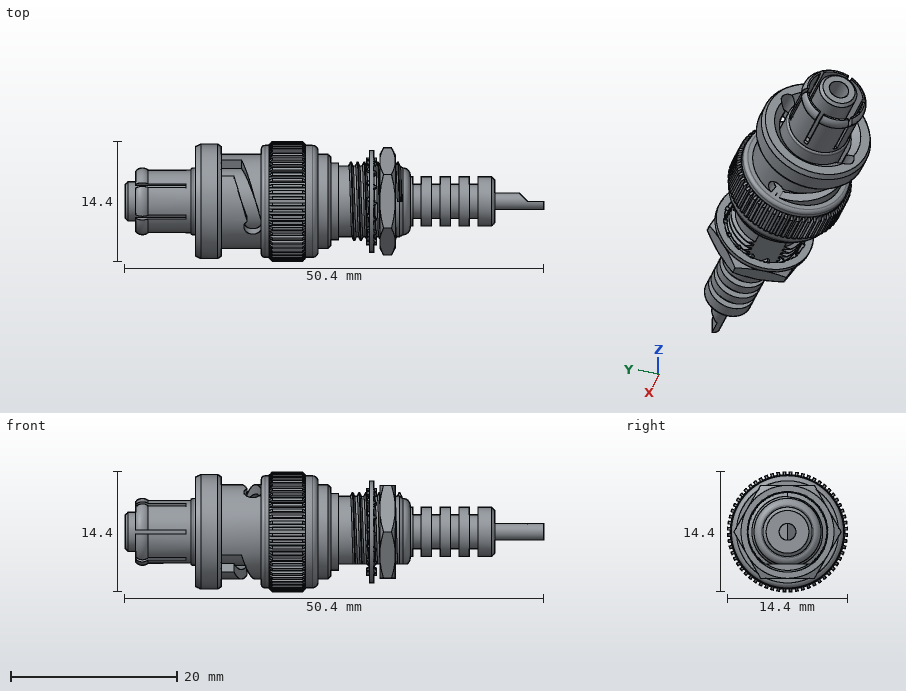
import cadquery as cq
import math


INSULATOR_RADIUS = 2.35
INSULATOR_CHAMFER = 0.35
CONTACT_HOLE_RADIUS = 1.2
CONTACT_HOLE_DEPTH = 4.05

COLLET_START = 1.25
COLLET_RADIUS = 3.8
COLLET_INNER_RADIUS = 3.45
BEAD_LENGTH = 1.5
BEAD_RADIUS = 4.05
BEAD_LIP_DROP = 0.15
COLLET_SLOT_COUNT = 6
FIRST_COLLET_SLOT_ANGLE = 90.0
COLLET_SLOT_WIDTH = 0.5
COLLET_SLOT_END = 7.35

COLLAR_START = 7.9
COLLAR_RADIUS = 4.05
COLLAR_FILLET = 0.25

FLANGE_START = 8.45
FLANGE_END = 11.6
FLANGE_RADIUS = 6.9
FLANGE_FRONT_CHAMFER_LENGTH = 0.65
FLANGE_BACK_CHAMFER_LENGTH = 0.45
FLANGE_CHAMFER_DROP = 0.3

SHELL_RADIUS = 5.7
SHELL_BORE_RADIUS = 4.55
MOUTH_RADIUS = 5.45

BAYONET_ANGLES = (0, 180)
SLOT_ENTRY_ANGLE = 46.5
SLOT_ENTRY_HALF_ANGLE = 14.0
SLOT_ENTRY_END = 13.1
NOTCH_CENTRE_RADIUS = 4.95
NOTCH_RADIUS = 1.0
SLOT_RAMP_START = 13.15
SLOT_RAMP_TURN = 90.0
SLOT_RAMP_PITCH = 10.1
SLOT_RAMP_LENGTH = 1.7
DETENT_X = 15.35
DETENT_ANGLE = -33.0
DETENT_RADIUS = 1.05

GRIP_START = 16.4
GRIP_END = 23.25
GRIP_RADIUS = 6.75
GRIP_FRONT_FILLET = 0.45
GRIP_BACK_FILLET = 0.7
KNURL_START = 17.35
KNURL_END = 21.7
KNURL_DIAMETER = 14.45
KNURL_RADIUS = KNURL_DIAMETER / 2
KNURL_CHAMFER = 0.4
KNURL_COUNT = 60
KNURL_GROOVE_WIDTH = 0.4

SHOULDER_END = 24.75
SHOULDER_CHAMFER = 0.35
STEP_END = 25.7
STEP_RADIUS = 4.65
BARREL_END = 34.3
BARREL_RADIUS = 4.3
BARREL_TAPER_START = 33.0
BARREL_TAPER_END = 33.4
BARREL_TAPER_RADIUS = 4.05
BARREL_FLAT_DEPTH = 3.9

THREAD_START = 27.15
THREAD_START_ANGLE = 90.0
THREAD_PITCH = 0.8
THREAD_TURNS = 7.25
THREAD_CREST_RADIUS = 4.75
THREAD_BASE_WIDTH = 0.6
THREAD_CREST_WIDTH = 0.1
THREAD_EMBED = 0.1

RELIEF_END = 44.5
RELIEF_RADIUS = 2.95
RELIEF_CHAMFER = 0.4
RELIEF_GROOVE_RADIUS = 2.05
RELIEF_GROOVE_START = 34.6
RELIEF_GROOVE_WIDTH = 1.0
RELIEF_GROOVE_PITCH = 2.25
RELIEF_GROOVE_COUNT = 4
CABLE_RADIUS = 1.0
CABLE_END = 50.4
CABLE_CUT_X = 48.45

FASTENER_BORE_RADIUS = 4.85

WASHER_START = 29.4
WASHER_THICKNESS = 0.55
WASHER_RADIUS = 6.15
WASHER_RING_INNER_RADIUS = 5.15
TOOTH_COUNT = 16
TOOTH_WIDTH = 1.2
TOOTH_THICKNESS = 0.4
TOOTH_TWIST = 50.0
TOOTH_EMBED = 0.1

NUT_START = 30.65
NUT_END = 32.5
NUT_ACROSS_FLATS = 11.2
NUT_CHAMFER_LENGTH = 0.45

OVERCUT = 0.5


def turned(points):
    """Solid of revolution about X from an outline of (x, radius) points."""
    return cq.Workplane("XZ").polyline(points).close().revolve(360, (0, 0, 0), (1, 0, 0))


def disc(start, end, radius):
    return turned([(start, 0), (start, radius), (end, radius), (end, 0)])


def tube(start, end, outer_radius, inner_radius):
    return turned([(start, inner_radius), (start, outer_radius), (end, outer_radius), (end, inner_radius)])


def box_along_x(start, end, width, low, high):
    """Box centred on Y, between two X and two Z positions."""
    box = cq.Workplane("XY").box(end - start, width, high - low, centered=(False, True, False))
    return box.translate((start, 0, low))


def turned_about_x(shape, angle):
    """Turns a shape from +Z towards +Y by an angle in degrees."""
    return shape.rotate((0, 0, 0), (1, 0, 0), -angle)


def helical_sweep(outline, start, radius, pitch, turn):
    """Sweeps an (axial, radius) outline along +X and round the axis, from +Z towards -Y."""
    path = cq.Workplane(cq.Wire.makeHelix(pitch, pitch * turn / 360, radius))
    points = [(outline_radius, axial) for axial, outline_radius in outline]
    coil = cq.Workplane("XZ").polyline(points).close().sweep(path, isFrenet=True)
    return coil.rotate((0, 0, 0), (0, 1, 0), 90).rotate((0, 0, 0), (1, 0, 0), 180).translate((start, 0, 0))


def make_insulator():
    insulator = disc(0, FLANGE_START, INSULATOR_RADIUS).edges("<X").chamfer(INSULATOR_CHAMFER)
    return insulator.cut(disc(-OVERCUT, CONTACT_HOLE_DEPTH, CONTACT_HOLE_RADIUS))


def make_collet():
    bead_end = COLLET_START + BEAD_LENGTH
    collet = (
        cq.Workplane("XZ")
        .moveTo(COLLET_START, COLLET_INNER_RADIUS)
        .lineTo(COLLET_START, COLLET_RADIUS - BEAD_LIP_DROP)
        .threePointArc((COLLET_START + BEAD_LENGTH / 2, BEAD_RADIUS), (bead_end, COLLET_RADIUS))
        .lineTo(COLLAR_START, COLLET_RADIUS)
        .lineTo(COLLAR_START, COLLET_INNER_RADIUS)
        .close()
        .revolve(360, (0, 0, 0), (1, 0, 0))
    )
    slot = box_along_x(
        COLLET_START - OVERCUT,
        COLLET_SLOT_END,
        COLLET_SLOT_WIDTH,
        INSULATOR_RADIUS,
        BEAD_RADIUS + OVERCUT,
    )
    for index in range(COLLET_SLOT_COUNT):
        collet = collet.cut(turned_about_x(slot, FIRST_COLLET_SLOT_ANGLE + index * 360 / COLLET_SLOT_COUNT))
    return collet


def make_collar():
    """Solid collar from the collet root to the back of the grip ring."""
    return disc(COLLAR_START, GRIP_END, COLLAR_RADIUS).edges("<X").fillet(COLLAR_FILLET)


def make_bayonet_cutter():
    """One bayonet slot, opening through the flange and the shell wall."""
    low = (SHELL_BORE_RADIUS + COLLAR_RADIUS) / 2
    high = SHELL_RADIUS + OVERCUT
    notch = disc(FLANGE_START - OVERCUT, FLANGE_END, NOTCH_RADIUS).translate((0, 0, NOTCH_CENTRE_RADIUS))
    spread = math.tan(math.radians(SLOT_ENTRY_HALF_ANGLE))
    entry = (
        cq.Workplane("YZ")
        .polyline([(-low * spread, low), (low * spread, low), (high * spread, high), (-high * spread, high)])
        .close()
        .extrude(SLOT_ENTRY_END - FLANGE_END)
        .translate((FLANGE_END, 0, 0))
    )
    half_length = SLOT_RAMP_LENGTH / 2
    ramp = helical_sweep(
        [(-half_length, low), (-half_length, high), (half_length, high), (half_length, low)],
        SLOT_RAMP_START,
        SHELL_RADIUS,
        SLOT_RAMP_PITCH,
        SLOT_RAMP_TURN,
    )
    detent = cq.Workplane("XY").circle(DETENT_RADIUS).extrude(high - low).translate((DETENT_X, 0, low))
    return (
        turned_about_x(notch.union(entry), SLOT_ENTRY_ANGLE)
        .union(turned_about_x(ramp, SLOT_ENTRY_ANGLE + SLOT_ENTRY_HALF_ANGLE))
        .union(turned_about_x(detent, DETENT_ANGLE))
    )


def make_bayonet_shell():
    chamfer_radius = FLANGE_RADIUS - FLANGE_CHAMFER_DROP
    mouth_length = MOUTH_RADIUS - SHELL_BORE_RADIUS
    shell = turned(
        [
            (FLANGE_START, MOUTH_RADIUS),
            (FLANGE_START, chamfer_radius),
            (FLANGE_START + FLANGE_FRONT_CHAMFER_LENGTH, FLANGE_RADIUS),
            (FLANGE_END - FLANGE_BACK_CHAMFER_LENGTH, FLANGE_RADIUS),
            (FLANGE_END, chamfer_radius),
            (FLANGE_END, SHELL_RADIUS),
            (GRIP_START, SHELL_RADIUS),
            (GRIP_START, SHELL_BORE_RADIUS),
            (FLANGE_START + mouth_length, SHELL_BORE_RADIUS),
        ]
    )
    cutter = make_bayonet_cutter()
    for angle in BAYONET_ANGLES:
        shell = shell.cut(turned_about_x(cutter, angle))
    return shell


def make_grip():
    grip = disc(GRIP_START, GRIP_END, GRIP_RADIUS)
    grip = grip.edges("<X").fillet(GRIP_FRONT_FILLET).edges(">X").fillet(GRIP_BACK_FILLET)
    knurl = disc(KNURL_START, KNURL_END, KNURL_RADIUS).edges("%CIRCLE").chamfer(KNURL_CHAMFER)
    groove = box_along_x(
        KNURL_START - OVERCUT,
        KNURL_END + OVERCUT,
        KNURL_GROOVE_WIDTH,
        GRIP_RADIUS,
        KNURL_RADIUS + OVERCUT,
    )
    grooves = [
        turned_about_x(groove, index * 360 / KNURL_COUNT).val()
        for index in range(KNURL_COUNT)
    ]
    knurl = knurl.cut(cq.Workplane(cq.Compound.makeCompound(grooves)))
    return grip.union(knurl)


def make_shoulders():
    shoulder = disc(GRIP_END, SHOULDER_END, SHELL_RADIUS).edges(">X").chamfer(SHOULDER_CHAMFER)
    return shoulder.union(disc(SHOULDER_END, STEP_END, STEP_RADIUS))


def make_barrel():
    """Threaded barrel with a rounded nose and one flat along its underside."""
    nose_radius = BARREL_END - BARREL_TAPER_END
    barrel = (
        cq.Workplane("XZ")
        .moveTo(STEP_END, 0)
        .lineTo(STEP_END, BARREL_RADIUS)
        .lineTo(BARREL_TAPER_START, BARREL_RADIUS)
        .lineTo(BARREL_TAPER_END, BARREL_TAPER_RADIUS)
        .radiusArc((BARREL_END, BARREL_TAPER_RADIUS - nose_radius), nose_radius)
        .lineTo(BARREL_END, 0)
        .close()
        .revolve(360, (0, 0, 0), (1, 0, 0))
    )
    half_base = THREAD_BASE_WIDTH / 2
    half_crest = THREAD_CREST_WIDTH / 2
    root = BARREL_RADIUS - THREAD_EMBED
    thread = helical_sweep(
        [
            (-half_base, root),
            (-half_crest, THREAD_CREST_RADIUS),
            (half_crest, THREAD_CREST_RADIUS),
            (half_base, root),
        ],
        THREAD_START,
        BARREL_RADIUS,
        THREAD_PITCH,
        360 * THREAD_TURNS,
    )
    below_flat = box_along_x(
        STEP_END,
        BARREL_END + OVERCUT,
        2 * THREAD_CREST_RADIUS + OVERCUT,
        -THREAD_CREST_RADIUS - OVERCUT,
        -BARREL_FLAT_DEPTH,
    )
    return barrel.union(turned_about_x(thread, THREAD_START_ANGLE)).cut(below_flat)


def make_strain_relief():
    relief = disc(BARREL_END, RELIEF_END, RELIEF_RADIUS).edges(">X").chamfer(RELIEF_CHAMFER)
    for index in range(RELIEF_GROOVE_COUNT):
        start = RELIEF_GROOVE_START + index * RELIEF_GROOVE_PITCH
        groove = tube(start, start + RELIEF_GROOVE_WIDTH, RELIEF_RADIUS + OVERCUT, RELIEF_GROOVE_RADIUS)
        relief = relief.cut(groove)
    return relief


def make_cable():
    """Cable end with its +Y half trimmed back at 45 degrees."""
    cable = disc(RELIEF_END, CABLE_END, CABLE_RADIUS)
    depth = CABLE_RADIUS + OVERCUT
    far_end = CABLE_END + OVERCUT
    trim = (
        cq.Workplane("XY")
        .polyline([(CABLE_CUT_X, 0), (far_end, 0), (far_end, depth), (CABLE_CUT_X - depth, depth)])
        .close()
        .extrude(depth, both=True)
    )
    return cable.cut(trim)


def make_connector():
    connector = make_insulator()
    for piece in (
        make_collet(),
        make_collar(),
        make_bayonet_shell(),
        make_grip(),
        make_shoulders(),
        make_barrel(),
        make_strain_relief(),
        make_cable(),
    ):
        connector = connector.union(piece)
    return connector


def make_washer():
    """Internal-tooth lock washer; each tooth is twisted about its own radius."""
    ring = tube(WASHER_START, WASHER_START + WASHER_THICKNESS, WASHER_RADIUS, WASHER_RING_INNER_RADIUS)
    tooth_length = WASHER_RING_INNER_RADIUS + TOOTH_EMBED
    tooth = (
        cq.Workplane("XY")
        .box(TOOTH_THICKNESS, TOOTH_WIDTH, tooth_length, centered=(True, True, False))
        .rotate((0, 0, 0), (0, 0, 1), TOOTH_TWIST)
        .translate((WASHER_START + WASHER_THICKNESS / 2, 0, 0))
    )
    for index in range(TOOTH_COUNT):
        ring = ring.union(turned_about_x(tooth, index * 360 / TOOTH_COUNT))
    return ring.cut(disc(WASHER_START - TOOTH_WIDTH, NUT_START, FASTENER_BORE_RADIUS))


def make_nut():
    """Hexagon nut with flats at +Z and -Z and cone-chamfered corners."""
    corner_radius = NUT_ACROSS_FLATS / 2 / math.cos(math.radians(30))
    hexagon = (
        cq.Workplane("YZ")
        .polygon(6, 2 * corner_radius)
        .extrude(NUT_END - NUT_START)
        .translate((NUT_START, 0, 0))
    )
    corner_envelope = turned(
        [
            (NUT_START, FASTENER_BORE_RADIUS),
            (NUT_START, NUT_ACROSS_FLATS / 2),
            (NUT_START + NUT_CHAMFER_LENGTH, corner_radius),
            (NUT_END - NUT_CHAMFER_LENGTH, corner_radius),
            (NUT_END, NUT_ACROSS_FLATS / 2),
            (NUT_END, FASTENER_BORE_RADIUS),
        ]
    )
    return hexagon.intersect(corner_envelope)


connector = make_connector()
washer = make_washer()
nut = make_nut()

result = cq.Compound.makeCompound([connector.val(), washer.val(), nut.val()])